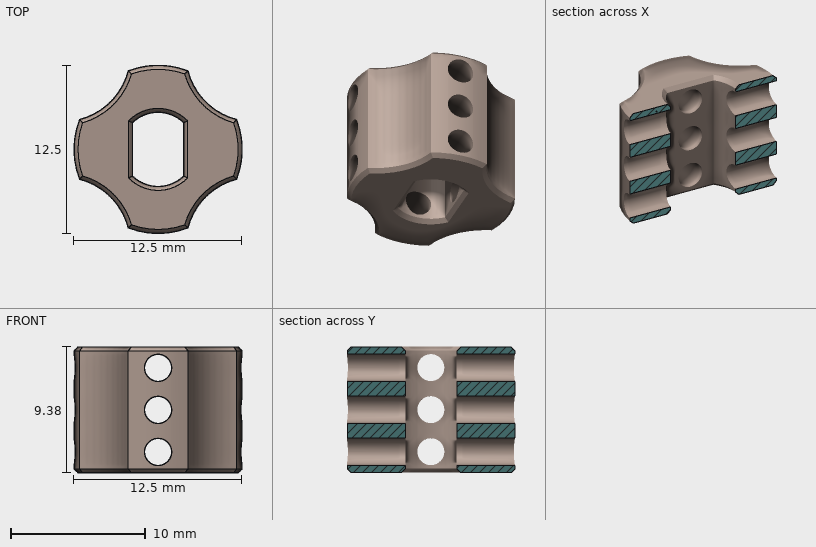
import cadquery as cq
import math

BODY_DIAMETER = 12.5
HOLE_PITCH = BODY_DIAMETER / 4
HOLES_PER_COLUMN = 3
HEIGHT = HOLES_PER_COLUMN * HOLE_PITCH
EDGE_CHAMFER = 0.3

SCALLOP_COUNT = 4
SCALLOP_START_ANGLE = 45
SCALLOP_RADIUS = 5.0
SCALLOP_CENTRE_DISTANCE = 10.0

BORE_DIAMETER = 5.5
BORE_FLAT_WIDTH = 3.8

HOLE_DIAMETER = 2.0


def make_lobed_body():
    """Cylinder with a concave scallop cut on each diagonal, chamfered at both ends."""
    body = cq.Workplane("XY").circle(BODY_DIAMETER / 2).extrude(HEIGHT / 2, both=True)
    scallops = (
        cq.Workplane("XY")
        .polarArray(SCALLOP_CENTRE_DISTANCE, SCALLOP_START_ANGLE, 360, SCALLOP_COUNT)
        .circle(SCALLOP_RADIUS)
        .extrude(HEIGHT / 2, both=True)
    )
    return body.cut(scallops).faces("|Z").edges().chamfer(EDGE_CHAMFER)


def make_bore():
    """Prism with two flats facing X and two round ends facing Y, as long as the body."""
    radius = BORE_DIAMETER / 2
    half_width = BORE_FLAT_WIDTH / 2
    flat_end = math.sqrt(radius**2 - half_width**2)
    return (
        cq.Workplane("XY")
        .moveTo(-half_width, -flat_end)
        .threePointArc((0, -radius), (half_width, -flat_end))
        .lineTo(half_width, flat_end)
        .threePointArc((0, radius), (-half_width, flat_end))
        .close()
        .extrude(HEIGHT / 2, both=True)
    )


def cut_bore(body):
    """Cut the double-flat bore right through and chamfer both of its mouths."""
    bored = body.cut(make_bore())
    bore_edges = cq.selectors.BoxSelector(
        (-BORE_DIAMETER / 2, -BORE_DIAMETER / 2, -HEIGHT),
        (BORE_DIAMETER / 2, BORE_DIAMETER / 2, HEIGHT),
    )
    return bored.faces("|Z").edges(bore_edges).chamfer(EDGE_CHAMFER)


def cut_cross_holes(body):
    """Drill a column of holes through the lobes along both X and Y."""
    for plane in ("XZ", "YZ"):
        holes = (
            cq.Workplane(plane)
            .rarray(1, HOLE_PITCH, 1, HOLES_PER_COLUMN)
            .circle(HOLE_DIAMETER / 2)
            .extrude(BODY_DIAMETER, both=True)
        )
        body = body.cut(holes)
    return body


result = cut_cross_holes(cut_bore(make_lobed_body()))